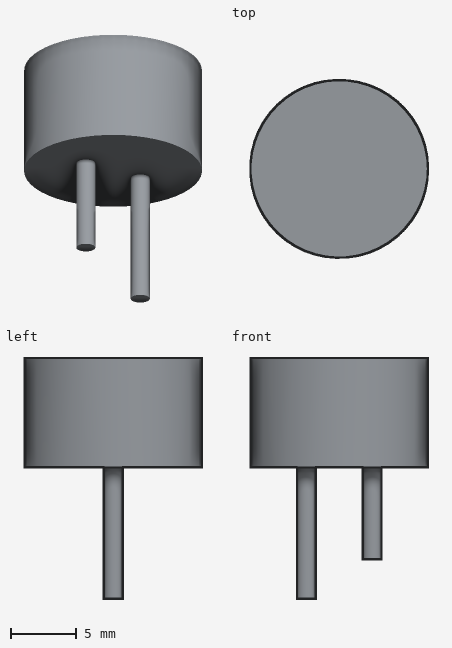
import cadquery as cq

total_height = 18.3
housing_diameter = 13.5
long_lead_length = 10.0
housing_height = total_height - long_lead_length

lead_diameter = 1.45
short_lead_length = 6.99
lead_spacing = 5.0


def make_housing():
    """Plain cylindrical housing with its underside on Z = 0."""
    return cq.Workplane("XY").circle(housing_diameter / 2).extrude(housing_height)


def make_lead(x, length):
    """Straight round lead hanging down from the underside of the housing."""
    return cq.Workplane("XY").center(x, 0).circle(lead_diameter / 2).extrude(-length)


housing = make_housing()

lead_layout = [
    (-lead_spacing / 2, long_lead_length),
    (lead_spacing / 2, short_lead_length),
]
leads = [make_lead(x, length) for x, length in lead_layout]

result = cq.Compound.makeCompound([housing.val(), *[lead.val() for lead in leads]])